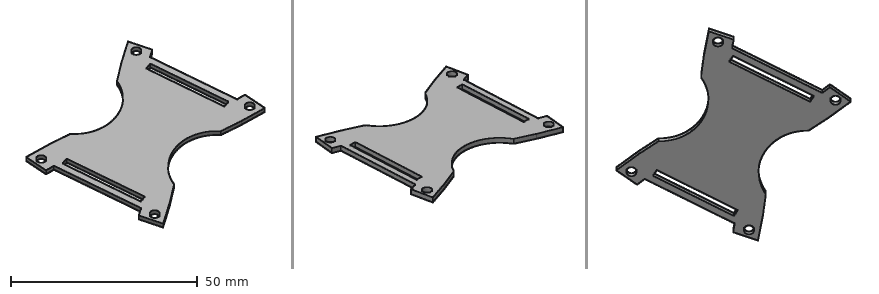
import cadquery as cq

width = 43.9
length = 52.05
thickness = 1.6

ear_outer_y = 24.95
ear_tip_x = 14.85
end_edge_x = 13.95
end_edge_y = 23.5
side_bend_x = 19.2
side_bend_y = 17.5

waist_width = 19.45
waist_corner_x = 16.6
waist_corner_y = 11.4

hole_diameter = 2.75
hole_spacing_x = 36.35
hole_spacing_y = 46.55
slot_length = 25.0
slot_width = 2.05
slot_spacing = 40.95


def make_plate():
    """Right half of the outline, joined to its mirror image."""
    right_half = (
        cq.Workplane("XY")
        .moveTo(0, -end_edge_y)
        .lineTo(end_edge_x, -end_edge_y)
        .lineTo(ear_tip_x, -length / 2)
        .lineTo(width / 2, -ear_outer_y)
        .lineTo(side_bend_x, -side_bend_y)
        .lineTo(waist_corner_x, -waist_corner_y)
        .threePointArc((waist_width / 2, 0), (waist_corner_x, waist_corner_y))
        .lineTo(side_bend_x, side_bend_y)
        .lineTo(width / 2, ear_outer_y)
        .lineTo(ear_tip_x, length / 2)
        .lineTo(end_edge_x, end_edge_y)
        .lineTo(0, end_edge_y)
        .close()
        .extrude(thickness)
    )
    return right_half.union(right_half.mirror("YZ")).clean()


def make_holes():
    """One through hole in each ear."""
    return (
        cq.Workplane("XY")
        .rarray(hole_spacing_x, hole_spacing_y, 2, 2)
        .circle(hole_diameter / 2)
        .extrude(thickness)
    )


def make_slots():
    """One through slot along each end edge."""
    return (
        cq.Workplane("XY")
        .rarray(0.5, slot_spacing, 1, 2)
        .rect(slot_length, slot_width)
        .extrude(thickness)
    )


result = make_plate().cut(make_holes()).cut(make_slots())